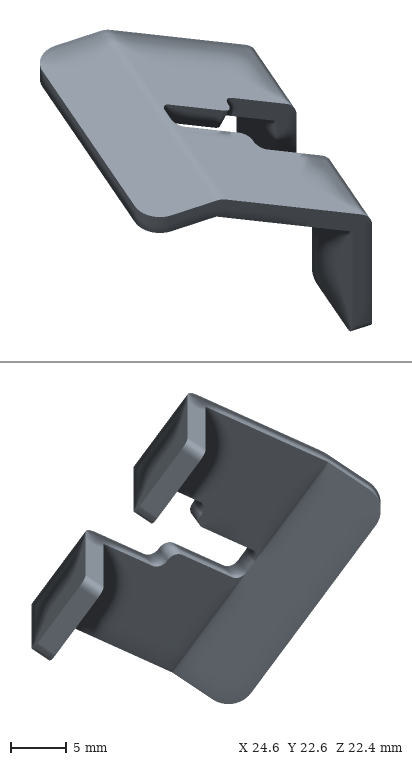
import cadquery as cq
import math

width = 24.6
depth = 22.58
height = 22.45
thickness = 2.0

flange_length = 6.99
leg_length = 13.05
flange_corner_radius = 2.5
small_radius = 1.0

wide_slot_width = 7.48
narrow_slot_width = 3.2
narrow_slot_length = 8.31

upper_bend = (flange_length, height - thickness)
lower_bend = (depth - thickness, leg_length)
slope_run = lower_bend[0] - upper_bend[0]
slope_drop = upper_bend[1] - lower_bend[1]
slope_angle = math.atan2(slope_drop, slope_run)
web_length = math.hypot(slope_run, slope_drop)


def outer_point(bend, angle):
    """Point on the outer arc of a bend, at an angle from +Y toward +Z."""
    return (
        bend[0] + thickness * math.cos(angle),
        bend[1] + thickness * math.sin(angle),
    )


def bent_sheet():
    up = math.pi / 2
    web_normal = up - slope_angle
    profile = (
        cq.Workplane("YZ")
        .moveTo(0, height - thickness)
        .lineTo(*upper_bend)
        .lineTo(*lower_bend)
        .lineTo(lower_bend[0], 0)
        .lineTo(depth, 0)
        .lineTo(*outer_point(lower_bend, 0))
        .threePointArc(outer_point(lower_bend, web_normal / 2), outer_point(lower_bend, web_normal))
        .lineTo(*outer_point(upper_bend, web_normal))
        .threePointArc(outer_point(upper_bend, (up + web_normal) / 2), outer_point(upper_bend, up))
        .lineTo(0, height)
        .close()
    )
    sheet = profile.extrude(width / 2, both=True)
    return sheet.edges("|Z").edges("<Y").fillet(flange_corner_radius)


def web_slot():
    """Stepped slot cut square to the web, starting at the upper bend line."""
    web_plane = cq.Plane(
        origin=(0, *upper_bend),
        xDir=(1, 0, 0),
        normal=(0, math.sin(slope_angle), math.cos(slope_angle)),
    )
    narrow_half = narrow_slot_width / 2
    wide_half = wide_slot_width / 2
    open_end = web_length + 2 * thickness
    outline = (
        cq.Workplane(web_plane)
        .workplane(offset=-thickness)
        .polyline([
            (-narrow_half, 0),
            (narrow_half, 0),
            (narrow_half, narrow_slot_length),
            (wide_half, narrow_slot_length),
            (wide_half, open_end),
            (-wide_half, open_end),
            (-wide_half, narrow_slot_length),
            (-narrow_half, narrow_slot_length),
        ])
        .close()
    )
    slot = outline.extrude(3 * thickness)
    upright_edges = slot.edges(cq.selectors.ParallelDirSelector(web_plane.zDir))
    rounded_edges = upright_edges.edges(
        cq.selectors.BoxSelector(
            (-width, 0, 0),
            (width, lower_bend[0], 2 * height),
        )
    )
    return rounded_edges.fillet(small_radius)


def leg_gap():
    """Clear space between the two vertical legs."""
    gap_height = leg_length + thickness
    return cq.Workplane("XY").box(
        wide_slot_width, 2 * thickness, gap_height, centered=(True, True, False)
    ).translate((0, depth, 0))


result = bent_sheet().cut(web_slot()).cut(leg_gap())
result = result.edges("|Y").edges("<Z").fillet(small_radius)